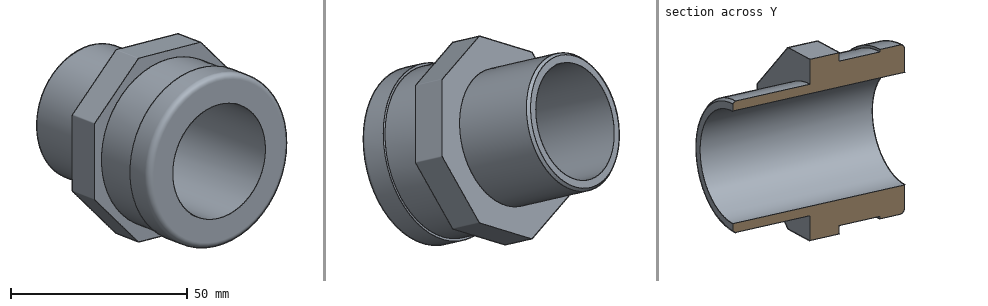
import cadquery as cq

total_length = 58.15
spigot_length = 26.0
octagon_width = 10.0
collar_length = 8.5

bore_diameter = 34.0
spigot_diameter = 40.0
body_diameter = 50.0
collar_diameter = 51.5
octagon_across_flats = 55.0

spigot_chamfer_length = 0.9
spigot_chamfer_depth = 0.75
collar_rounding = 1.75
octagon_corner_radius = 0.5

octagon_start = spigot_length
octagon_end = octagon_start + octagon_width
collar_start = total_length - collar_length


def cylinder(start, end, diameter):
    """Solid cylinder along X between two stations."""
    return cq.Workplane("YZ", origin=(start, 0, 0)).circle(diameter / 2).extrude(end - start)


def make_spigot():
    """Plain male end with a chamfered mouth."""
    spigot = cylinder(0, octagon_start, spigot_diameter)
    return spigot.faces("<X").chamfer(spigot_chamfer_length, spigot_chamfer_depth)


def make_octagon():
    """Spanner grip: a square prism cut by the same square turned 45 degrees."""
    square = (
        cq.Workplane("YZ", origin=(octagon_start, 0, 0))
        .rect(octagon_across_flats, octagon_across_flats)
        .extrude(octagon_width)
    )
    turned_square = square.rotate((0, 0, 0), (1, 0, 0), 45)
    return square.intersect(turned_square).edges("|X").fillet(octagon_corner_radius)


def make_collar():
    """Reinforcing ring with a rounded outer rim."""
    collar = cylinder(collar_start, total_length, collar_diameter)
    return collar.faces(">X").edges().fillet(collar_rounding)


body = cylinder(octagon_end, collar_start, body_diameter)
bore = cylinder(0, total_length, bore_diameter)

result = make_spigot().union(make_octagon()).union(body).union(make_collar()).cut(bore)